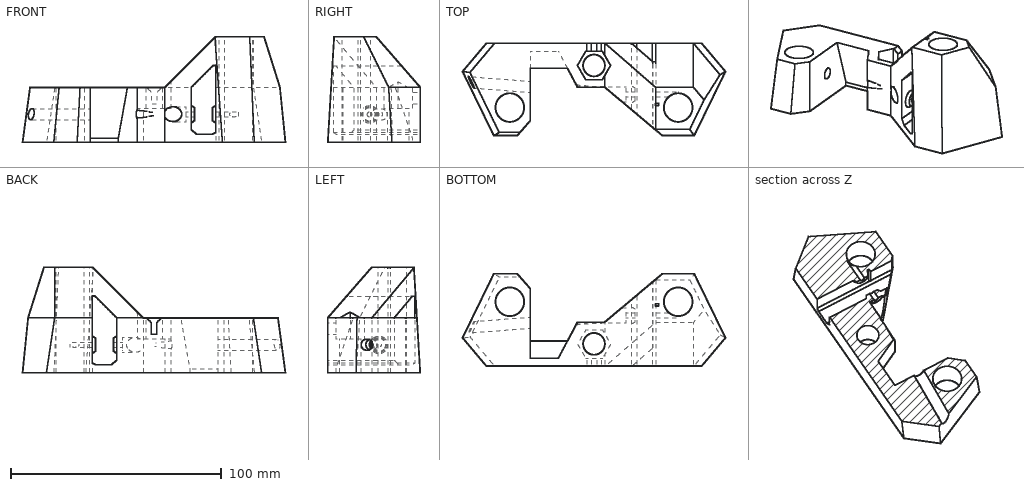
import cadquery as cq
import math

half_length = 62.4
depth = 43.9
height = 50.1
deck_height = 26.1

back_half_width = 51.0
widest_y = -13.5
front_corner_x = 47.5
bevel_run = 6.2
bevel_rise = 7.1
arm_inner_x = -30.2

hub_left_x = -7.9
hub_right_x = 5.1
hub_front_y = -21.0

tower_wall_x = 29.2
tower_front_x = 32.4
tower_roof_end_x = 47.2
rise = height - deck_height

front_draft = 3.0 / height
left_draft = 3.0 / deck_height
right_draft = 3.2 / height
back_corner_draft = 3.0 / deck_height

pocket_lip_height = 1.9
pocket_base_y = -3.7
pocket_top_y = -12.0
pocket_top_x = -12.6

bore_radius = 6.7
bore_x = 39.9
bore_y = -30.5
hub_bore_radius = 5.1
hub_bore_y = -10.6
nut_flats = 13.6
nut_depth = 10.0

slot_width = 2.6
slot_depth = 7.7
slot_bevel = 2.2

window_left_x = 17.7
window_floor = 3.9
window_peak = 36.3
window_peak_x = window_left_x + window_peak - deck_height
window_left_bevel = 2.5
window_left_bevel_height = 2.1
window_right_bevel = 1.5
window_right_bevel_height = 0.9

screw_y = -24.2
screw_height = 13.3
screw_radius = 1.1
seat_radius = 3.5
seat_end_x = 15.0
boss_length = 1.5
boss_radius = 4.1
boss_tip_radius = 3.1

tunnel_radius = 2.6
tunnel_x = -59.3
tunnel_y = -18.5

groove_left_mouth = 3.7
groove_left_floor = 1.2
groove_right_mouth = 3.0
groove_right_floor = 0.9
groove_side_angle = 12.0
groove_overrun = 1.2

relief_depth = 1.5
relief_width = 1.0
relief_y = -29.1

trim_size = 249.5


def prism(points, top):
    return cq.Workplane("XY").polyline(points).close().extrude(top)


def trim(body, point, normal):
    """Remove everything on the outer side of a plane."""
    waste = cq.Workplane(cq.Plane(origin=point, normal=normal)).rect(trim_size, trim_size).extrude(trim_size)
    return body.cut(waste)


def draft_wall(body, start, end, draft):
    """Lean the wall over a base edge inward; the body lies left of start -> end."""
    dx = end[0] - start[0]
    dy = end[1] - start[1]
    length = math.hypot(dx, dy)
    return trim(body, (*start, 0), (dy / length, -dx / length, draft))


def rod(start, end, radius):
    """Cylinder between two plan points at screw height."""
    direction = cq.Vector(end[0] - start[0], end[1] - start[1], 0)
    return cq.Workplane(cq.Solid.makeCylinder(
        radius, direction.Length, cq.Vector(*start, screw_height), direction))


def make_left_body():
    back = (-back_half_width, 0)
    widest = (-half_length, widest_y)
    front = (-front_corner_x, -depth)
    bevel_front = (arm_inner_x - bevel_run, -depth)
    bevel_back = (arm_inner_x, -depth + bevel_rise)
    body = prism(
        [(hub_right_x, 0), back, widest, front, bevel_front, bevel_back,
         (arm_inner_x, hub_front_y), (hub_right_x, hub_front_y)],
        deck_height,
    )
    body = draft_wall(body, back, widest, back_corner_draft)
    body = draft_wall(body, widest, front, left_draft)
    body = draft_wall(body, front, bevel_front, front_draft)
    return body.cut(make_pocket())


def make_pocket():
    slant = (pocket_top_x - hub_left_x) / (pocket_top_y - hub_front_y)
    base_x = pocket_top_x + slant * (pocket_base_y - pocket_top_y)
    plan = prism(
        [(arm_inner_x, hub_front_y), (hub_left_x, hub_front_y),
         (base_x, pocket_base_y), (arm_inner_x, pocket_base_y)],
        deck_height,
    )
    profile = (
        cq.Workplane("YZ", origin=(-half_length, 0, 0))
        .polyline([(-depth, 0), (pocket_base_y, 0), (pocket_base_y, pocket_lip_height),
                   (pocket_top_y, deck_height), (-depth, deck_height)])
        .close().extrude(half_length)
    )
    return plan.intersect(profile)


def make_tower():
    front_left = (tower_front_x, -depth)
    front = (front_corner_x, -depth)
    widest = (half_length, widest_y)
    back = (back_half_width, 0)
    body = prism(
        [(hub_right_x, 0), (hub_right_x, hub_front_y), front_left, front, widest, back],
        height,
    )
    body = draft_wall(body, front_left, front, front_draft)
    body = draft_wall(body, front, widest, right_draft)
    body = draft_wall(body, widest, back, back_corner_draft)
    body = trim(body, (hub_right_x, 0, deck_height), (-1, 0, rise / (tower_wall_x - hub_right_x)))
    body = trim(body, (hub_right_x, 0, deck_height), (0, rise, -hub_front_y))
    corner_length = math.hypot(half_length - back_half_width, widest_y)
    corner_x = -widest_y / corner_length
    corner_y = (half_length - back_half_width) / corner_length
    corner_run = -hub_front_y * corner_y
    body = trim(body, (tower_roof_end_x, 0, deck_height), (corner_x, corner_y, corner_run / rise))
    return body


def make_window():
    return (
        cq.Workplane("XZ")
        .polyline([
            (window_left_x, window_floor + window_left_bevel_height),
            (window_left_x + window_left_bevel, window_floor),
            (tower_wall_x - window_right_bevel, window_floor),
            (tower_wall_x, window_floor + window_right_bevel_height),
            (tower_wall_x, window_peak),
            (window_peak_x, window_peak),
            (window_left_x, deck_height),
        ])
        .close().extrude(depth)
    )


def make_boss(wall_x, side):
    """Tapered boss standing on a window wall; side is the direction it points along X."""
    return cq.Workplane(cq.Solid.makeCone(
        boss_radius, boss_tip_radius, boss_length,
        cq.Vector(wall_x, screw_y, screw_height), cq.Vector(side, 0, 0)))


def make_screw_cuts():
    seat = rod((hub_left_x, screw_y), (seat_end_x, screw_y), seat_radius)
    shank = rod((seat_end_x, screw_y), (bore_x, screw_y), screw_radius)
    return seat.union(shank)


def make_tunnel():
    slope = (screw_y - tunnel_y) / (seat_end_x - tunnel_x)
    outer_x = -half_length - tunnel_radius
    outer_y = tunnel_y + slope * (outer_x - tunnel_x)
    return rod((outer_x, outer_y), (seat_end_x, screw_y), tunnel_radius)


def groove_section(x, mouth, floor):
    groove_depth = (mouth - floor) * math.tan(math.radians(groove_side_angle))
    floor_y = hub_front_y + groove_depth
    corners = [(hub_front_y, -mouth), (floor_y, -floor), (floor_y, floor), (hub_front_y, mouth)]
    return cq.Wire.makePolygon(
        [cq.Vector(x, y, screw_height + z) for y, z in corners], close=True)


def make_groove():
    left = groove_section(hub_left_x - groove_overrun, groove_left_mouth, groove_left_floor)
    right = groove_section(hub_right_x, groove_right_mouth, groove_right_floor)
    return cq.Workplane(cq.Solid.makeLoft([left, right], True))


def make_bores():
    posts = (
        cq.Workplane("XY").pushPoints([(-bore_x, bore_y), (bore_x, bore_y)])
        .circle(bore_radius).extrude(height)
    )
    hub = cq.Workplane("XY").center(0, hub_bore_y).circle(hub_bore_radius).extrude(height)
    return posts.union(hub)


def make_nut_seat():
    corner_diameter = nut_flats / math.cos(math.pi / 6)
    return (
        cq.Workplane("XY", origin=(0, hub_bore_y, deck_height - nut_depth))
        .polygon(6, corner_diameter).extrude(height)
    )


def make_slot():
    half = slot_width / 2
    floor = deck_height - slot_depth
    bevel_foot = deck_height - slot_bevel
    return (
        cq.Workplane("XZ")
        .polyline([
            (-half, floor), (half, floor), (half, bevel_foot), (half + slot_bevel, deck_height),
            (-half - slot_bevel, deck_height), (-half, bevel_foot),
        ])
        .close().extrude(-hub_bore_y)
    )


def make_relief():
    return (
        cq.Workplane("XY", origin=(tower_wall_x, relief_y, 0))
        .box(relief_depth, relief_width, height, centered=(False, True, False))
    )


result = make_left_body().union(make_tower()).cut(make_window())
result = result.union(make_boss(window_left_x, 1)).union(make_boss(tower_wall_x, -1))
for cutter in (
    make_screw_cuts(), make_tunnel(), make_groove(),
    make_bores(), make_nut_seat(), make_slot(), make_relief(),
):
    result = result.cut(cutter)